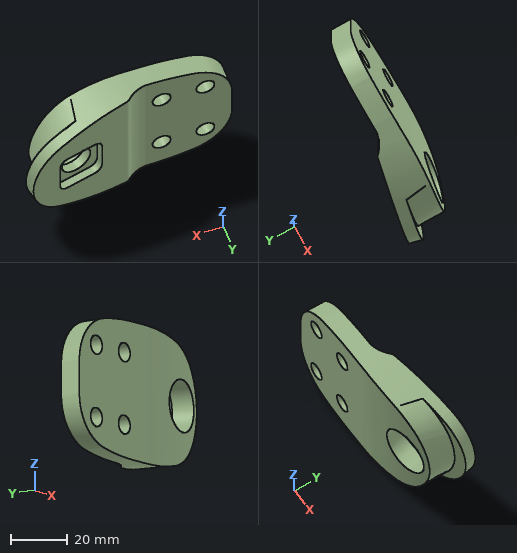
import cadquery as cq
import math

half_width = 25
plate_thickness = 8.1
end_flat_half = 6.0
corner_radius = 17.75
corner_mid_x = 4.4
corner_end_x = 14.0
side_arc_mid = (19.9, 24.3)
straight_start = 30.1
overlap = 4

hole_diameter = 6.8
hole_spacing_x = 16.45
hole_spacing_z = 26.1
hole_center_x = 18.3

tilt = 13
bend_x = 39.85
arm_back = 11.9
lip_thickness = 5.0
arm_length = 43.5
arm_side_mid = (14.9, 23.4)
arm_side_end = (31.5, 18.15)
arm_tip_mid = (39.1, 12.5)
step_start_x = 32.7
step_mid = (37.4, 9.8)
step_end = (40.2, 11.95)
crest_mid = (40.75, 12.35)
crest_end_x = 41.5
front_radius = 138.8

core_tip_x = 75.4
core_radius = 25
front_level = 0
rear_level = 16.1
front_side_start = (58.4, 22.75)
front_side_mid = (63.7, 20.65)
front_side_end_x = 68.1
rear_side_start = (61.0, 20.9)
rear_side_mid = (67.9, 16.95)
rear_side_end_x = 73.1

bore_u = 23.4
bore_diameter = 19.0
bore_floor_v = 4.85
through_diameter = 11.95
recess_size = 17.6
recess_depth = 3.2
recess_corner_radius = 3.2

margin = 16.1
sine = math.sin(math.radians(tilt))
cosine = math.cos(math.radians(tilt))


def arm_point(u, v):
    """Convert arm coordinates (u, v) to part coordinates (X, Y)."""
    return (bend_x + u * cosine - v * sine, u * sine + v * cosine)


def mirrored(point):
    """Mirror an outline point across the middle of the part's width."""
    return (point[0], -point[1])


def front_y(x):
    """Height of the curved front face at X."""
    return front_radius - math.sqrt(front_radius**2 - (x - bend_x) ** 2)


def arm_plane(v):
    """Workplane parallel to the sloping face; local axes u and Z, normal toward -v."""
    x, y = arm_point(0, v)
    return cq.Workplane(cq.Plane((x, y, 0), (cosine, sine, 0), (sine, -cosine, 0)))


def front_plane(y):
    """Workplane at a given Y; local axes X and Z, normal toward -Y."""
    return cq.Workplane("XZ", origin=(0, y, 0))


def corner_point(x):
    """Point on the upper left corner arc of the plate."""
    return (x, end_flat_half + math.sqrt(corner_radius**2 - (corner_radius - x) ** 2))


def core_tip_point(x):
    """Point on the upper half of the core's round tip."""
    center_x = core_tip_x - core_radius
    return (x, math.sqrt(core_radius**2 - (x - center_x) ** 2))


def make_profile():
    """Side profile of plate, step and arm, extruded across the width."""
    tip_back = arm_point(arm_length, arm_back)
    tip_front = arm_point(arm_length, arm_back - lip_thickness)
    crest_end = (crest_end_x, tip_back[1] - (tip_back[0] - crest_end_x) * sine / cosine)
    lip_under_y = tip_front[1] - (tip_front[0] - core_tip_x) * sine / cosine
    arc_mid_x = (bend_x + core_tip_x) / 2
    return (
        cq.Workplane("XY")
        .moveTo(0, 0)
        .lineTo(bend_x, 0)
        .threePointArc((arc_mid_x, front_y(arc_mid_x)), (core_tip_x, front_y(core_tip_x)))
        .lineTo(core_tip_x, lip_under_y)
        .lineTo(*tip_front)
        .lineTo(*tip_back)
        .lineTo(*crest_end)
        .threePointArc(crest_mid, step_end)
        .threePointArc(step_mid, (step_start_x, plate_thickness))
        .lineTo(0, plate_thickness)
        .close()
        .extrude(half_width, both=True)
    )


def make_plate_outline():
    """Prism along Y with the rounded outline of the plate."""
    corner_mid = corner_point(corner_mid_x)
    corner_end = corner_point(corner_end_x)
    end_x = bend_x - overlap
    return (
        front_plane(arm_back + margin)
        .moveTo(0, -end_flat_half)
        .lineTo(0, end_flat_half)
        .threePointArc(corner_mid, corner_end)
        .threePointArc(side_arc_mid, (straight_start, half_width))
        .lineTo(end_x, half_width)
        .lineTo(end_x, -half_width)
        .lineTo(straight_start, -half_width)
        .threePointArc(mirrored(side_arc_mid), mirrored(corner_end))
        .threePointArc(mirrored(corner_mid), (0, -end_flat_half))
        .close()
        .extrude(arm_back + 2 * margin)
    )


def make_arm_outline():
    """Prism normal to the sloping face with the rounded outline of the arm."""
    return (
        arm_plane(arm_back + margin)
        .moveTo(-overlap, -half_width)
        .lineTo(-overlap, half_width)
        .lineTo(0, half_width)
        .threePointArc(arm_side_mid, arm_side_end)
        .threePointArc(arm_tip_mid, (arm_length, 0))
        .threePointArc(mirrored(arm_tip_mid), mirrored(arm_side_end))
        .threePointArc(mirrored(arm_side_mid), (0, -half_width))
        .close()
        .extrude(arm_back + 3 * margin)
    )


def core_wire(y, side_start, side_mid, side_end_x):
    """Closed core outline at one Y level."""
    side_end = core_tip_point(side_end_x)
    tip_mid = core_tip_point((side_end_x + core_tip_x) / 2)
    return (
        front_plane(y)
        .moveTo(*mirrored(side_start))
        .lineTo(*side_start)
        .threePointArc(side_mid, side_end)
        .threePointArc(tip_mid, (core_tip_x, 0))
        .threePointArc(mirrored(tip_mid), mirrored(side_end))
        .threePointArc(mirrored(side_mid), mirrored(side_start))
        .close()
        .val()
    )


def make_lip_undercut():
    """Material to remove below the lip, outside the tapering core."""
    front_wire = core_wire(front_level, front_side_start, front_side_mid, front_side_end_x)
    rear_wire = core_wire(rear_level, rear_side_start, rear_side_mid, rear_side_end_x)
    core = cq.Workplane(cq.Solid.makeLoft([front_wire, rear_wire], True))
    surround = (
        cq.Workplane("XY")
        .moveTo(front_side_start[0], front_level)
        .lineTo(rear_side_start[0], rear_level)
        .lineTo(core_tip_x + margin, rear_level)
        .lineTo(core_tip_x + margin, front_level)
        .close()
        .extrude(half_width + margin, both=True)
    )
    below_lip = arm_plane(arm_back - lip_thickness).rect(4 * arm_length, 4 * half_width).extrude(2 * margin)
    return surround.cut(core).intersect(below_lip)


def make_mounting_holes():
    """Four through holes in the plate."""
    return (
        front_plane(plate_thickness + margin)
        .center(hole_center_x, 0)
        .rarray(hole_spacing_x, hole_spacing_z, 2, 2)
        .circle(hole_diameter / 2)
        .extrude(plate_thickness + 2 * margin)
    )


def make_bore():
    """Large front bore, smaller through hole and rounded square recess in the back."""
    front_bore = arm_plane(bore_floor_v).center(bore_u, 0).circle(bore_diameter / 2).extrude(2 * margin)
    through_hole = (
        arm_plane(arm_back).center(bore_u, 0).circle(through_diameter / 2).extrude(arm_back)
    )
    recess = (
        arm_plane(arm_back)
        .center(bore_u, 0)
        .rect(recess_size, recess_size)
        .extrude(recess_depth)
        .edges(cq.selectors.ParallelDirSelector(cq.Vector(sine, -cosine, 0)))
        .fillet(recess_corner_radius)
    )
    return front_bore.union(through_hole).union(recess)


outline = make_plate_outline().union(make_arm_outline())
result = (
    make_profile()
    .intersect(outline)
    .cut(make_lip_undercut())
    .cut(make_mounting_holes())
    .cut(make_bore())
)